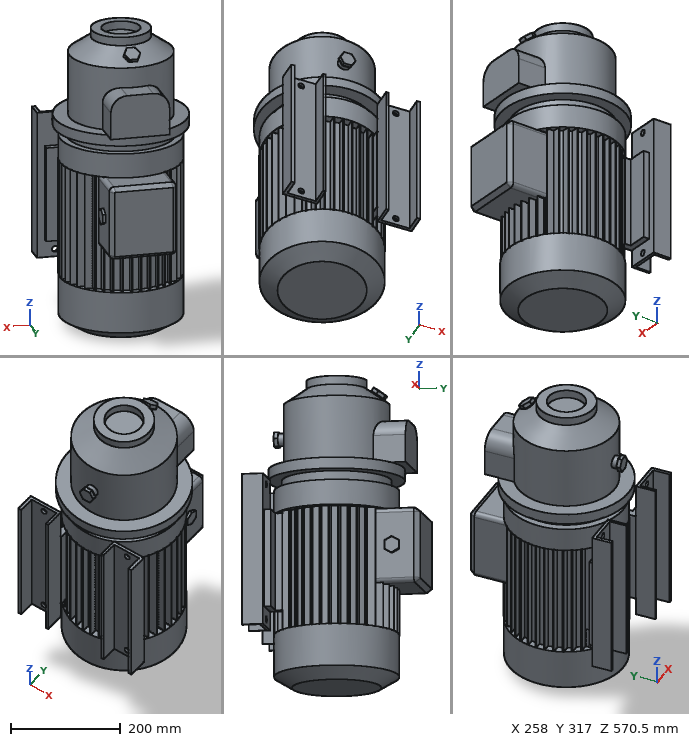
import cadquery as cq


COVER_BEVEL_TOP = 20.0
FAN_COVER_TOP = 97.5
FINS_TOP = 319.5
BARREL_TOP = 365.5
FLANGE_BOTTOM = 384.5
FLANGE_TOP = 405.0
HOUSING_TOP = 525.5
CONE_TOP = 554.5
TOTAL_HEIGHT = 570.5

COVER_END_RADIUS = 81.5
BARREL_RADIUS = 114.5
CORE_RADIUS = 100.5
FLANGE_RADIUS = 125.0
HOUSING_RADIUS = 97.0
PORT_RADIUS = 55.5
PORT_BORE_RADIUS = 36.0
PORT_BORE_DEPTH = TOTAL_HEIGHT - CONE_TOP

FIN_THICKNESS = 2.0
FIN_ROOT = 57.0
FINS = [(8.5, 114.5), (25.5, 112.0), (43.0, 106.5), (57.0, 98.0), (71.0, 87.0)]
QUADRANTS = 4

BOX_WIDTH = 125.5
BOX_FACE_Y = 166.5
BOX_BOTTOM = 180.0
BOX_TOP = FINS_TOP
BOX_CORNER_RADIUS = 8.5
BOX_BEVEL_DEPTH = 10.0
BOX_BEVEL_INSET = 7.5
GLAND_Y = 116.0
GLAND_LENGTH = 5.5

RAIL_BACK_Y = -112.0
RAIL_TIP_Y = -150.5
RAIL_INNER_X = 60.5
RAIL_OUTER_X = 129.0
RAIL_BOTTOM = 99.0
RAIL_TOP = 379.5
RAIL_WEB = 6.0
RAIL_OUTER_LEG = 7.0
RAIL_INNER_LEG = 5.0
RAIL_HOLE_DIAMETER = 11.5
RAIL_HOLE_FROM_END = 14.0
FOOT_INNER_X = 59.5
FOOT_OUTER_X = 114.5
FOOT_FRONT_Y = -99.0
FOOT_BOTTOM = 134.0
FOOT_TOP = 314.5
PEDESTAL_OUTER_X = 74.0
PEDESTAL_FRONT_Y = -87.0

HOOD_WIDTH = 110.5
HOOD_FACE_Y = 139.0
HOOD_TOP = 487.0
HOOD_CORNER_RADIUS = 31.0

HEX_CORNER_RADIUS = 15.5
HEX_THICKNESS = 8.0
STEM_RADIUS = 12.0
STEM_ROOT = 11.5
DRAIN_PLUG_Z = 465.5
DRAIN_PLUG_REACH = 18.0
VENT_PLUG_REACH = 9.0


def box_between(x_limits, y_limits, z_limits):
    """Box given by its lower and upper limit along each axis."""
    limits = (x_limits, y_limits, z_limits)
    sizes = [upper - lower for lower, upper in limits]
    corner = [lower for lower, upper in limits]
    return cq.Workplane("XY").box(*sizes, centered=False).translate(tuple(corner))


def mirrored_pair(shape):
    """The shape together with its mirror image across the YZ plane."""
    return shape.union(shape.mirror("YZ"))


def revolved(profile):
    """Solid of revolution about Z from (radius, height) points."""
    return cq.Workplane("XZ").polyline(profile).close().revolve(360, (0, 0, 0), (0, 1, 0))


def hexagon(plane, thickness):
    """Hexagonal prism rising from the plane, with a corner on the plane's X direction."""
    return cq.Workplane(plane).polygon(6, 2 * HEX_CORNER_RADIUS).extrude(thickness)


def screw_plug(surface_point, outward, reach):
    """Stem and hexagon head standing on a surface, reaching the given distance out of it."""
    plane = cq.Plane(origin=surface_point, xDir=(1, 0, 0), normal=outward)
    stem = cq.Workplane(plane).workplane(offset=-STEM_ROOT).circle(STEM_RADIUS).extrude(STEM_ROOT + reach)
    head_plane = cq.Workplane(plane).workplane(offset=reach - HEX_THICKNESS).plane
    return stem.union(hexagon(head_plane, HEX_THICKNESS))


def motor_core():
    return revolved([
        (0, 0),
        (COVER_END_RADIUS, 0),
        (BARREL_RADIUS, COVER_BEVEL_TOP),
        (BARREL_RADIUS, FAN_COVER_TOP),
        (CORE_RADIUS, FAN_COVER_TOP),
        (CORE_RADIUS, FINS_TOP),
        (BARREL_RADIUS, FINS_TOP),
        (BARREL_RADIUS, BARREL_TOP),
        (CORE_RADIUS, BARREL_TOP),
        (CORE_RADIUS, FLANGE_BOTTOM),
        (0, FLANGE_BOTTOM),
    ])


def add_fins(body):
    half = FIN_THICKNESS / 2
    for quadrant in range(QUADRANTS):
        for offset, reach in FINS:
            fin = box_between((offset - half, offset + half), (FIN_ROOT, reach), (FAN_COVER_TOP, FINS_TOP))
            pair = mirrored_pair(fin)
            body = body.union(pair.rotate((0, 0, 0), (0, 0, 1), quadrant * 360 / QUADRANTS))
    return body


def terminal_box():
    half = BOX_WIDTH / 2
    body = box_between((-half, half), (FIN_ROOT, BOX_FACE_Y), (BOX_BOTTOM, BOX_TOP))
    body = body.edges("|Y").fillet(BOX_CORNER_RADIUS)
    return body.faces(">Y").edges().chamfer(BOX_BEVEL_INSET, BOX_BEVEL_DEPTH)


def cable_gland():
    middle_z = (BOX_BOTTOM + BOX_TOP) / 2
    plane = cq.Plane(origin=(BOX_WIDTH / 2, GLAND_Y, middle_z), xDir=(0, 0, 1), normal=(1, 0, 0))
    return hexagon(plane, GLAND_LENGTH)


def foot():
    """Foot plate on the +X side with the pedestal that ties it to the motor core."""
    heights = (FOOT_BOTTOM, FOOT_TOP)
    plate = box_between((FOOT_INNER_X, FOOT_OUTER_X), (RAIL_BACK_Y, FOOT_FRONT_Y), heights)
    pedestal = box_between((FOOT_INNER_X, PEDESTAL_OUTER_X), (FOOT_FRONT_Y, PEDESTAL_FRONT_Y), heights)
    root = box_between((FOOT_INNER_X, FINS[-1][0]), (PEDESTAL_FRONT_Y, -FIN_ROOT), heights)
    return plate.union(pedestal).union(root)


def rail():
    """Channel on the +X side, open towards -Y, with a hole near each end of its web."""
    heights = (RAIL_BOTTOM, RAIL_TOP)
    channel = box_between((RAIL_INNER_X, RAIL_OUTER_X), (RAIL_TIP_Y, RAIL_BACK_Y), heights)
    opening = box_between(
        (RAIL_INNER_X + RAIL_INNER_LEG, RAIL_OUTER_X - RAIL_OUTER_LEG),
        (RAIL_TIP_Y, RAIL_BACK_Y - RAIL_WEB),
        heights,
    )
    channel = channel.cut(opening)
    hole_x = (RAIL_INNER_X + RAIL_OUTER_X) / 2
    for hole_z in (RAIL_BOTTOM + RAIL_HOLE_FROM_END, RAIL_TOP - RAIL_HOLE_FROM_END):
        plane = cq.Plane(origin=(hole_x, RAIL_BACK_Y, hole_z), xDir=(1, 0, 0), normal=(0, -1, 0))
        channel = channel.cut(cq.Workplane(plane).circle(RAIL_HOLE_DIAMETER / 2).extrude(RAIL_WEB))
    return channel


def make_motor():
    body = add_fins(motor_core())
    body = body.union(terminal_box()).union(cable_gland())
    return body.union(mirrored_pair(foot())).union(mirrored_pair(rail()))


def pump_housing():
    return revolved([
        (0, FLANGE_BOTTOM),
        (FLANGE_RADIUS, FLANGE_BOTTOM),
        (FLANGE_RADIUS, FLANGE_TOP),
        (HOUSING_RADIUS, FLANGE_TOP),
        (HOUSING_RADIUS, HOUSING_TOP),
        (PORT_RADIUS, CONE_TOP),
        (PORT_RADIUS, TOTAL_HEIGHT),
        (PORT_BORE_RADIUS, TOTAL_HEIGHT),
        (PORT_BORE_RADIUS, TOTAL_HEIGHT - PORT_BORE_DEPTH),
        (0, TOTAL_HEIGHT - PORT_BORE_DEPTH),
    ])


def connection_hood():
    half = HOOD_WIDTH / 2
    hood = box_between((-half, half), (0, HOOD_FACE_Y), (FLANGE_TOP, HOOD_TOP))
    return hood.edges("|Y and >Z").fillet(HOOD_CORNER_RADIUS)


def drain_plug():
    return screw_plug((0, -HOUSING_RADIUS, DRAIN_PLUG_Z), (0, -1, 0), DRAIN_PLUG_REACH)


def vent_plug():
    """Plug standing square on the middle of the housing's conical shoulder."""
    middle = (0, (HOUSING_RADIUS + PORT_RADIUS) / 2, (HOUSING_TOP + CONE_TOP) / 2)
    outward = (0, CONE_TOP - HOUSING_TOP, HOUSING_RADIUS - PORT_RADIUS)
    return screw_plug(middle, outward, VENT_PLUG_REACH)


def make_pump_head():
    return pump_housing().union(connection_hood()).union(drain_plug()).union(vent_plug())


motor = make_motor()
pump_head = make_pump_head()
result = cq.Compound.makeCompound([motor.val(), pump_head.val()])